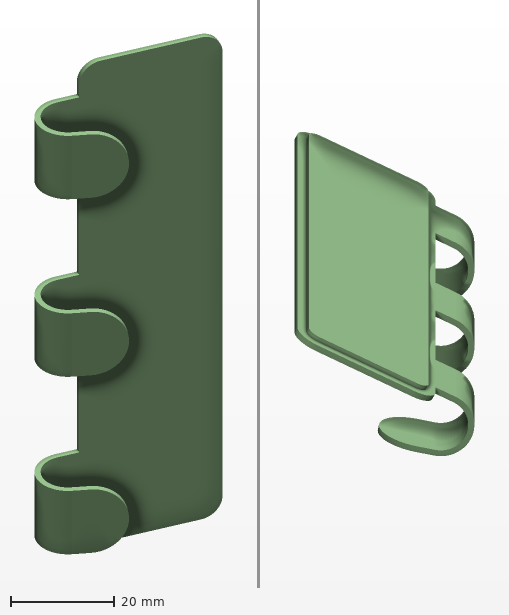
import cadquery as cq
import math

sheet_thickness = 1.2
plate_width = 30.0
plate_height = 114.0
plate_corner_radius = 4.5

pad_thickness = 1.0
pad_margin = 2.0

hook_count = 3
hook_pitch = 42.0
hook_width = 15.0
root_length = 4.5
bend_outer_radius = 6.5
bend_inner_radius = bend_outer_radius - sheet_thickness
lip_lean = math.radians(15.0)
lip_length = 11.17
lip_end_radius = hook_width / 2

plate_edge_y = -plate_width / 2
bend_center_x = bend_outer_radius
bend_center_y = plate_edge_y - root_length


def rounded_panel(start_x, thickness, width, height, corner_radius):
    """Upright panel in the YZ plane with rounded corners, growing toward +X."""
    panel = cq.Workplane("YZ", origin=(start_x, 0, 0)).rect(width, height).extrude(thickness)
    return panel.edges("|X").fillet(corner_radius)


def lip_point(radius, along):
    """Point on the lip, at a radius from the bend centre and a distance past the bend."""
    return (
        bend_center_x + radius * math.cos(lip_lean) + along * math.sin(lip_lean),
        bend_center_y - radius * math.sin(lip_lean) + along * math.cos(lip_lean),
    )


def bend_middle(radius):
    """Point halfway round the bend, which turns from -X through -Y to the lip."""
    half_turn = (math.pi - lip_lean) / 2
    return (
        bend_center_x - radius * math.cos(half_turn),
        bend_center_y - radius * math.sin(half_turn),
    )


def hook_strip(center_z):
    """Bent strip of constant width with a square lip end."""
    return (
        cq.Workplane("XY", origin=(0, 0, center_z - hook_width / 2))
        .moveTo(0, plate_edge_y)
        .lineTo(0, bend_center_y)
        .threePointArc(bend_middle(bend_outer_radius), lip_point(bend_outer_radius, 0))
        .lineTo(*lip_point(bend_outer_radius, lip_length))
        .lineTo(*lip_point(bend_inner_radius, lip_length))
        .lineTo(*lip_point(bend_inner_radius, 0))
        .threePointArc(bend_middle(bend_inner_radius), (sheet_thickness, bend_center_y))
        .lineTo(sheet_thickness, plate_edge_y)
        .close()
        .extrude(hook_width)
    )


def lip_corner_waste(center_z):
    """Material outside the half-round lip end, cut square to the lip's faces."""
    arc_start = lip_length - lip_end_radius
    corner_x, corner_y = lip_point(bend_inner_radius, arc_start)
    lip_plane = cq.Plane(
        origin=(corner_x, corner_y, center_z),
        xDir=(math.sin(lip_lean), math.cos(lip_lean), 0),
        normal=(math.cos(lip_lean), -math.sin(lip_lean), 0),
    )
    end_block = (
        cq.Workplane(lip_plane)
        .rect(lip_end_radius, hook_width, centered=(False, True))
        .extrude(sheet_thickness)
    )
    end_disc = cq.Workplane(lip_plane).circle(lip_end_radius).extrude(sheet_thickness)
    return end_block.cut(end_disc)


def hook(center_z):
    return hook_strip(center_z).cut(lip_corner_waste(center_z))


rail = rounded_panel(0, sheet_thickness, plate_width, plate_height, plate_corner_radius)
for index in range(hook_count):
    hook_z = (index - (hook_count - 1) / 2) * hook_pitch
    rail = rail.union(hook(hook_z))

pad = rounded_panel(
    -pad_thickness,
    pad_thickness,
    plate_width - 2 * pad_margin,
    plate_height - 2 * pad_margin,
    plate_corner_radius - pad_margin,
)

result = cq.Compound.makeCompound([rail.val(), pad.val()])